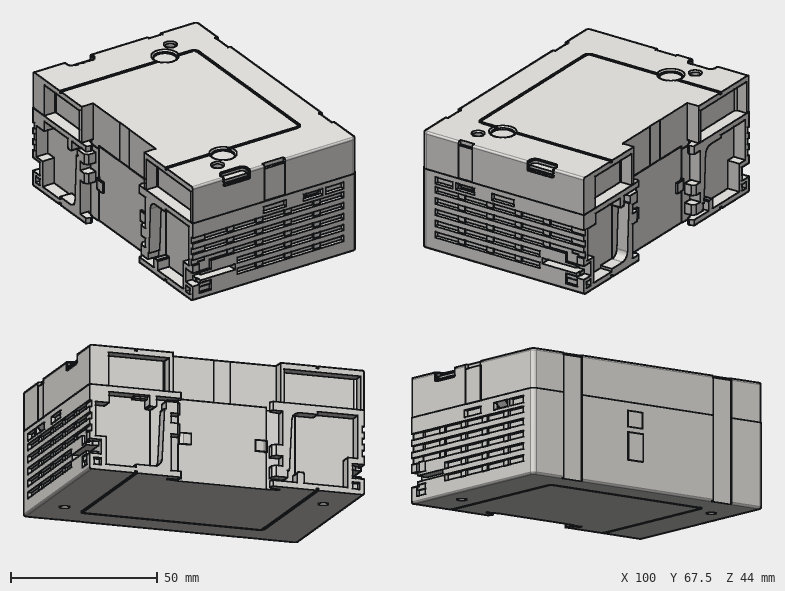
import cadquery as cq
width = 100.0
depth = 67.5
height = 44.0
half_width = width / 2

parting_z = 30.0
parting_step = 0.1
label_height = 0.5
body_depth = depth - label_height
rear_corner_radius = 1.5
rim_radius = 0.75

front_depth = 4.75
overcut = 1.0

cover_recess_half = 19.6
base_recess_half = 20.35
rail_panel_half = 16.05
rail_panel_top = 29.0
rail_panel_extra = 0.2
centre_band_half = 3.0
centre_band_depth = 0.1


def block(x_range, y_range, z_range):
    """Box given by its extent along each axis."""
    sizes = [abs(end - start) for start, end in (x_range, y_range, z_range)]
    corner = (min(x_range), min(y_range), min(z_range))
    return cq.Workplane("XY").box(*sizes, centered=False).translate(corner)


def plan_prism(points, z_range):
    """Prism with an XY outline between two heights."""
    z_low, z_high = z_range
    return cq.Workplane("XY").workplane(offset=z_low).polyline(points).close().extrude(z_high - z_low)


def both_sides(tool):
    """The tool together with its mirror image across the YZ plane."""
    return tool.union(tool.mirror("YZ"))


def half_turn(shape):
    """Turn half a revolution about the Y-parallel axis through the middle of the base."""
    middle = parting_z / 2
    return shape.rotate((0, 0, middle), (0, 1, middle), 180)


def make_housing():
    base = block((-half_width, half_width), (0, body_depth), (0, parting_z))
    base = base.edges("|Z and >Y").fillet(rear_corner_radius)
    base = base.faces("<Z").edges("not <Y").fillet(rim_radius)

    cover_half = half_width - parting_step
    cover = block((-cover_half, cover_half), (parting_step, body_depth - parting_step), (parting_z, height))
    cover = cover.edges("|Z and >Y").fillet(rear_corner_radius)
    cover = cover.faces(">Z").edges("not <Y").fillet(rim_radius)
    return base.union(cover)


def make_back_labels():
    x_range = (2.5, 8.8)
    upper_height = 0.25
    upper_z = (21.4, 27.0)
    lower_z = (9.8, 19.5)
    upper = block(x_range, (body_depth - overcut, body_depth + upper_height), upper_z)
    lower = block(x_range, (body_depth - overcut, depth), lower_z)
    return upper.union(lower)


def make_rail_recess():
    front = -overcut
    cover_z = (parting_z, height + overcut)
    band_z = (rail_panel_top, height + overcut)
    cover_part = block((-cover_recess_half, cover_recess_half), (front, front_depth), cover_z)
    base_part = block((-base_recess_half, base_recess_half), (front, front_depth), (-overcut, parting_z))
    panel_back = front_depth + rail_panel_extra
    panel = block((-rail_panel_half, rail_panel_half), (front, panel_back), (-overcut, rail_panel_top))
    band_back = front_depth + centre_band_depth
    band = block((-centre_band_half, centre_band_half), (front, band_back), band_z)
    return cover_part.union(base_part).union(panel).union(band)


def make_windows():
    """Label windows in the cover; their side walls meet the back in a bevel."""
    window_top = 41.9
    bevel = 0.45
    outer_bevel = 0.85

    def window(x_low, x_high, bevel_low, bevel_high):
        outline = [
            (x_low, 0),
            (x_high, 0),
            (x_high, front_depth - bevel_high),
            (x_high - bevel_high, front_depth),
            (x_low + bevel_low, front_depth),
            (x_low, front_depth - bevel_low),
        ]
        return plan_prism(outline, (parting_z, window_top))

    left = window(-43.0, -21.0, bevel, bevel)
    right = window(20.9, 48.6, bevel, outer_bevel)
    return left.union(right)


bay_low = 2.1
bay_high = parting_z - bay_low
bay_step_x = 33.0
bay_step_z = 3.1
web_foot_x = 26.35
tooth_inner = 25.6
tooth_outer = 28.1
tooth_tip = 24.1
tooth_bevel = 0.4
web_top = 26.4
web_side_depth = 4.4


def make_bay(outer_corners):
    """Terminal bay left of the rail recess; outer_corners run from its top to its bottom."""
    web_neck_x = 22.1
    web_neck_z = 23.8
    foot_arc_middle = (-24.4, 4.1)
    foot_arc_end = (-23.6, 6.0)
    web_side_top_x = 22.7
    bay = cq.Workplane("XZ").moveTo(-base_recess_half, bay_high)
    bay = bay.lineTo(-tooth_inner, bay_high)
    bay = bay.lineTo(-tooth_inner, tooth_tip + tooth_bevel)
    bay = bay.lineTo(-tooth_inner - tooth_bevel, tooth_tip)
    bay = bay.lineTo(-tooth_outer + tooth_bevel, tooth_tip)
    bay = bay.lineTo(-tooth_outer, tooth_tip + tooth_bevel)
    bay = bay.lineTo(-tooth_outer, bay_high)
    for x, z in outer_corners:
        bay = bay.lineTo(x, z)
    bay = bay.lineTo(-bay_step_x, bay_low)
    bay = bay.lineTo(-bay_step_x, bay_step_z)
    bay = bay.lineTo(-web_foot_x, bay_step_z)
    bay = bay.threePointArc(foot_arc_middle, foot_arc_end)
    bay = bay.lineTo(-web_side_top_x, web_neck_z)
    bay = bay.lineTo(-web_neck_x, web_neck_z)
    bay = bay.lineTo(-web_neck_x, web_top)
    bay = bay.lineTo(-base_recess_half, web_top)
    bay = bay.close()

    web_side = block((-web_foot_x, 0), (web_side_depth, front_depth), (0, parting_z))
    return bay.extrude(-front_depth).cut(web_side)


def make_bays():
    left_corners = [
        (-42.9, bay_high),
        (-42.9, 24.0),
        (-47.8, 24.0),
        (-47.8, 11.9),
        (-43.9, 11.9),
        (-43.9, bay_low),
    ]
    right_corners_before_turn = [(-44.0, bay_high), (-44.0, 17.3), (-47.6, 17.3), (-47.6, bay_low)]
    left = make_bay(left_corners)
    right_before_turn = make_bay(right_corners_before_turn)
    return left.union(half_turn(right_before_turn))


def make_bay_ledge():
    """Thin set-back ledge under the top bar of the left bay."""
    ledge_drop = 0.7
    ledge_z = (bay_high - ledge_drop, bay_high)
    return block((-bay_step_x, -tooth_outer), (front_depth / 2, front_depth), ledge_z)


def make_rail_hooks():
    """Bars with pointed ends, and pairs of small hooks, that hold the mounting rail."""
    root = base_recess_half
    tip = rail_panel_half
    neck = 16.75
    hook_back = 4.0
    bar_outline = [(-root, 0), (-neck, 0), (-tip, 1.6), (-neck, 2.6), (-root, 3.4)]
    hook_outline = [(-root, 0), (-17.85, 0), (-neck, 1.2), (-neck, hook_back), (-root, hook_back)]

    hooks = both_sides(plan_prism(bar_outline, (0, bay_low)))
    hooks = hooks.union(plan_prism(bar_outline, (bay_high, parting_z)))
    hooks = hooks.union(plan_prism(bar_outline, (parting_z - bay_step_z, parting_z)).mirror("YZ"))
    hook_heights = ((22.5, web_top), (15.1, 19.0))
    for z_range in hook_heights:
        hook = plan_prism(hook_outline, z_range)
        hooks = hooks.union(hook).union(half_turn(hook))
    return hooks


def make_recess_cheeks():
    """Slightly sloping strips on the recess wall, either side of the rail panel."""
    panel_y = front_depth + rail_panel_extra
    outer_y = 4.4
    outline = [
        (-rail_panel_half, panel_y),
        (-rail_panel_half, front_depth),
        (-base_recess_half, outer_y),
        (-base_recess_half, panel_y),
    ]
    return both_sides(plan_prism(outline, (0, bay_high)))


def make_rail_clips():
    """Flat fingers in front of the rail panel, each with a sloping shoulder."""
    outer = rail_panel_half
    inner = 11.75
    bend = 14.7
    root_width = 0.3
    clip_front = 3.5
    shoulder_y = 3.9
    clip_back = 4.2
    clip_z = (13.0, 16.9)
    root_y = front_depth + rail_panel_extra
    outline = [
        (-outer, root_y),
        (-outer, shoulder_y),
        (-bend, clip_front),
        (-inner, clip_front),
        (-inner, clip_back),
        (-outer + root_width, clip_back),
        (-outer + root_width, root_y),
    ]
    return both_sides(plan_prism(outline, clip_z))


notch_reach = 4.3


def make_corner_notches():
    notch_inner = -half_width + notch_reach
    notch_z = (5.6, 10.7)
    notch_back = 2.8
    step_back = 3.2
    step_x = -47.8
    socket_outer = -48.3
    socket_depth = 2.0
    socket_z = (1.8, 4.2)

    side = -half_width - overcut
    notch = block((side, notch_inner), (-overcut, notch_back), notch_z)
    notch = notch.union(block((side, step_x), (-overcut, step_back), notch_z))
    socket = block((socket_outer, notch_inner), (-overcut, socket_depth), socket_z)
    return both_sides(notch.union(socket))


def side_pocket(y_range, z_range, pocket_depth):
    """Pocket cut into the -X wall."""
    return block((-half_width - overcut, -half_width + pocket_depth), y_range, z_range)


def make_latch_wedge(roof_z, slot_depth):
    """Wedge that hangs from the roof of a side slot, growing towards its back."""
    wedge_drop = 1.9
    y_front = 46.5
    y_rear = 51.8
    outer_x = -half_width
    inner_x = outer_x + slot_depth
    outline = [(outer_x, roof_z), (inner_x, roof_z), (inner_x, roof_z - wedge_drop)]
    wedge = cq.Workplane("XZ", origin=(0, y_front, 0)).polyline(outline).close()
    return wedge.extrude(y_front - y_rear)


def make_vents():
    row_height = 2.2
    row_pitch = 4.25
    top_row_z = 22.1
    slot_length = 9.1
    slot_pitch = 11.75
    first_slot_y = 61.6
    slot_depth = 1.5
    bridge_depth = 0.75
    short_row_end = 18.3
    row_ends = (-overcut, -overcut, -overcut, short_row_end, short_row_end)
    slot_counts = (5, 5, 4, 4, 4)

    def row_span(row):
        z_low = top_row_z - row * row_pitch
        return (z_low, z_low + row_height)

    vents = None
    for row, (row_end, slots) in enumerate(zip(row_ends, slot_counts)):
        groove = side_pocket((row_end, first_slot_y), row_span(row), bridge_depth)
        vents = groove if vents is None else vents.union(groove)
        for column in range(slots):
            slot_rear = first_slot_y - column * slot_pitch
            slot_front = max(slot_rear - slot_length, row_end)
            vents = vents.union(side_pocket((slot_front, slot_rear), row_span(row), slot_depth))

    upper_slot_z = (25.5, 28.0)
    upper_slot_spans = ((54.4, first_slot_y), (45.3, 53.1), (29.0, 38.2))
    for y_range in upper_slot_spans:
        vents = vents.union(side_pocket(y_range, upper_slot_z, slot_depth))
    vents = vents.cut(make_latch_wedge(upper_slot_z[1], slot_depth))

    latch_slot_rear = 17.3
    latch_slot_z = (7.1, 9.25)
    seat_y = (2.8, 7.5)
    seat_depth = 1.0
    upper_seat_z = (10.25, 14.1)
    lower_seat_z = (2.2, 4.3)
    shallow_seat_z = (4.3, 6.05)
    seat_channel_y = (5.3, 14.6)
    seat_channel_row = 2
    vents = vents.union(side_pocket((0, latch_slot_rear), latch_slot_z, notch_reach))
    vents = vents.union(side_pocket(seat_y, upper_seat_z, seat_depth))
    vents = vents.union(side_pocket(seat_channel_y, row_span(seat_channel_row), seat_depth))
    vents = vents.union(side_pocket(seat_y, lower_seat_z, seat_depth))
    vents = vents.union(side_pocket(seat_y, shallow_seat_z, seat_depth / 2))
    return both_sides(vents)


def make_wall_channels():
    """Shallow channels down the side and rear walls, deeper at the top edge."""
    shallow = 0.4
    rear_shallow = 0.75
    deep = 1.5
    deep_z = 42.4
    rear_deep_z = 43.4
    top = height + overcut
    channels = None

    side_channels = ((-1, 46.4, 52.0), (1, 29.4, 37.9))
    for side, y_low, y_high in side_channels:
        for cut_depth, z_low in ((shallow, parting_z), (deep, deep_z)):
            x_range = (side * (half_width - cut_depth), side * (half_width + overcut))
            channel = block(x_range, (y_low, y_high), (z_low, top))
            channels = channel if channels is None else channels.union(channel)

    rear_x = (28.4, 36.5)
    for cut_depth, z_low in ((rear_shallow, -overcut), (deep, rear_deep_z)):
        rear = block(rear_x, (body_depth - cut_depth, body_depth + overcut), (z_low, top))
        channels = channels.union(both_sides(rear))
    return channels


def make_finger_grips():
    """Rounded scoops in the top side edges with a lower step in the outer wall."""
    y_front = 13.2
    y_rear = 23.1
    ledge_z = 42.4
    lower_z = 41.3
    lip_z = 40.6
    reach = 4.0
    lower_reach = 1.1
    corner = 1.6
    lower_corner = 0.7
    lip = 0.5
    lip_y = (y_front - lip, y_rear + lip)

    inner_x = -half_width + reach
    outer_x = -half_width - reach
    scoop = block((outer_x, inner_x - lip / 2), (y_front, y_rear), (ledge_z, height))
    scoop = scoop.edges("|Z and >X").fillet(corner)
    top_lip = block((outer_x, inner_x), lip_y, (height - lip, height))
    top_lip = top_lip.edges("|Z and >X").fillet(corner + lip)
    lower = side_pocket((y_front, y_rear), (lower_z, height), lower_reach)
    side_lip = side_pocket(lip_y, (lip_z, height), lip).edges("|X and <Z").fillet(lower_corner)
    return both_sides(scoop.union(top_lip).union(lower).union(side_lip))


def make_panel_groove(z_range):
    """U-shaped groove, open at the front, that frames a panel."""
    outer_half = 33.4
    outer_rear = 55.6
    groove_width = 0.8
    outer_radius = 2.0

    def panel(inset):
        half = outer_half - inset
        shape = block((-half, half), (-overcut, outer_rear - inset), z_range)
        return shape.edges("|Z and >Y").fillet(outer_radius - inset)

    return panel(0).cut(panel(groove_width))


def make_coned_bore(x, y, rim_radius, bore_radius, cone_depth, bore_depth):
    """Round hole from the top face whose mouth narrows through a cone."""
    top = cq.Workplane("XY").workplane(offset=height).center(x, y)
    bore = top.circle(bore_radius).extrude(-bore_depth)
    cone = top.circle(rim_radius).workplane(offset=-cone_depth).circle(bore_radius).loft()
    return bore.union(cone)


def make_screw_hole(x, y):
    return make_coned_bore(x, y, rim_radius=2.3, bore_radius=1.75, cone_depth=0.55, bore_depth=height)


def make_dish(x, y):
    return make_coned_bore(x, y, rim_radius=4.75, bore_radius=4.05, cone_depth=0.6, bore_depth=1.2)


panel_groove_depth = 0.7
screw_holes = ((-40.8, 50.1), (40.9, 16.1))
dishes = ((-34.8, 44.0), (35.0, 22.2))

result = make_housing().union(make_back_labels())
result = result.cut(make_rail_recess())
result = result.cut(make_windows())
result = result.cut(make_bays())
result = result.union(make_bay_ledge())
result = result.union(make_rail_hooks())
result = result.union(make_recess_cheeks())
result = result.union(make_rail_clips())
result = result.cut(make_corner_notches())
result = result.cut(make_vents())
result = result.cut(make_wall_channels())
result = result.cut(make_finger_grips())
result = result.cut(make_panel_groove((height - panel_groove_depth, height)))
result = result.cut(make_panel_groove((0, panel_groove_depth)))
for hole_x, hole_y in screw_holes:
    result = result.cut(make_screw_hole(hole_x, hole_y))
for dish_x, dish_y in dishes:
    result = result.cut(make_dish(dish_x, dish_y))